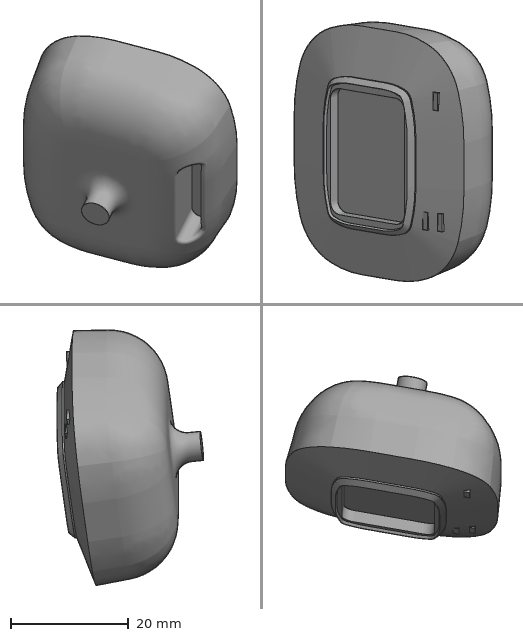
import math

import cadquery as cq

TILT = 5.0

RIM_Y = 20.0
HALF_WIDTH = 18.375
HALF_HEIGHT = 21.68
TOP_FLAT_HALF = 3.8
SIDE_FLAT_HALF = 4.1
CORNER_RADIUS = 11.0
TOP_ARC_ANGLE = math.radians(21.3)
SIDE_ARC_ANGLE = math.radians(16.0)

FRONT_Y = 5.0
DRAFT = math.radians(5.0)
FRONT_FILLET = 10.0

MARGIN = 0.1

PIN_DIAMETER = 5.0
PIN_FILLET = 3.0

FRAME_BASE_Y = 22.45
FRAME_BASE_INSET = 8.45
FRAME_STEP = 0.3
RIDGE_Y = 23.72
RIDGE_INSET = 9.35
LIP_DEPTH = 0.55
LIP_WIDTH = 0.2

POCKET_HALF_WIDTH = 8.0
POCKET_HALF_HEIGHT = 11.0
POCKET_CORNER_RADIUS = 2.0
POCKET_DEPTH = 2.0

SLOT_X = 13.95
SLOT_WIDTH = 3.1
SLOT_STRAIGHT = 14.9
SLOT_FLOOR_Y = 14.0
SLOT_FILLET = 0.5
SLOT_MOUTH_REACH = 5.0

BAR_WIDTH = 1.0
BAR_LENGTH = 3.1
BARS = [(-13.3, 11.1, 21.47), (-14.2, -9.9, 21.37), (-11.5, -9.9, 21.97)]


def side_and_top_radii():
    """Radii of the side and top arcs that make the quarter outline close tangentially."""
    sin_top, cos_top = math.sin(TOP_ARC_ANGLE), math.cos(TOP_ARC_ANGLE)
    sin_side, cos_side = math.sin(SIDE_ARC_ANGLE), math.cos(SIDE_ARC_ANGLE)
    width_left = HALF_WIDTH - TOP_FLAT_HALF - CORNER_RADIUS * (cos_side - sin_top)
    height_left = HALF_HEIGHT - SIDE_FLAT_HALF - CORNER_RADIUS * (cos_top - sin_side)
    determinant = sin_top * sin_side - (1 - cos_side) * (1 - cos_top)
    top = (width_left * sin_side - height_left * (1 - cos_side)) / determinant
    side = (height_left * sin_top - width_left * (1 - cos_top)) / determinant
    return side, top


SIDE_RADIUS, TOP_RADIUS = side_and_top_radii()


def on_circle(centre, radius, angle):
    """Point on a circle, with the angle measured from the height direction towards the width."""
    return centre[0] + radius * math.sin(angle), centre[1] + radius * math.cos(angle)


def back_plane(y):
    """Sketch plane across the part, facing the back; its height direction is -Z."""
    return cq.Plane(origin=(0, y, 0), xDir=(1, 0, 0), normal=(0, 1, 0))


def outline(y, inset):
    """Closed wire at depth y: the rim outline moved inwards by inset."""
    top_centre = (TOP_FLAT_HALF, HALF_HEIGHT - TOP_RADIUS)
    side_centre = (HALF_WIDTH - SIDE_RADIUS, SIDE_FLAT_HALF)
    corner_centre = on_circle(top_centre, TOP_RADIUS - CORNER_RADIUS, TOP_ARC_ANGLE)
    corner_end = math.pi / 2 - SIDE_ARC_ANGLE
    arcs = [
        (top_centre, TOP_RADIUS, 0, TOP_ARC_ANGLE),
        (corner_centre, CORNER_RADIUS, TOP_ARC_ANGLE, corner_end),
        (side_centre, SIDE_RADIUS, corner_end, math.pi / 2),
    ]
    quarter = []
    for centre, radius, start, end in arcs:
        angles = (start, (start + end) / 2, end)
        quarter.append([on_circle(centre, radius - inset, angle) for angle in angles])

    mirrored = [arc[::-1] for arc in quarter[::-1]]
    quarters = [(quarter, 1, 1), (mirrored, 1, -1), (quarter, -1, -1), (mirrored, -1, 1)]
    sketch = cq.Workplane(back_plane(y)).moveTo(*quarter[0][0])
    for index, (arcs_of_quarter, x_sign, z_sign) in enumerate(quarters):
        for arc_index, arc in enumerate(arcs_of_quarter):
            start, middle, end = [(x_sign * x, z_sign * z) for x, z in arc]
            if arc_index == 0 and index > 0:
                sketch = sketch.lineTo(*start)
            sketch = sketch.threePointArc(middle, end)
    return sketch.close().val()


def section_solid(start, end):
    """Solid between two outlines, each given as (y, inset)."""
    return cq.Workplane(cq.Solid.makeLoft([outline(*start), outline(*end)], True))


def front_shell():
    front_inset = (RIM_Y - FRONT_Y) * math.tan(DRAFT)
    shell = section_solid((FRONT_Y, front_inset), (RIM_Y, 0))
    return shell.faces("<Y").edges().fillet(FRONT_FILLET)


def add_pin(body):
    pin = cq.Workplane(back_plane(0)).circle(PIN_DIAMETER / 2).extrude(FRONT_Y + MARGIN)
    reach = PIN_DIAMETER / 2 + MARGIN
    root = cq.selectors.BoxSelector(
        (-reach, FRONT_Y - MARGIN, -reach), (reach, FRONT_Y + MARGIN, reach)
    )
    return body.union(pin).edges(root).fillet(PIN_FILLET)


def cut_slot(body):
    slot = (
        cq.Workplane(back_plane(0))
        .center(SLOT_X, 0)
        .slot2D(SLOT_STRAIGHT + SLOT_WIDTH, SLOT_WIDTH, 90)
        .extrude(SLOT_FLOOR_Y)
    )
    body = body.cut(slot)
    reach = SLOT_WIDTH / 2 + MARGIN
    half_length = SLOT_STRAIGHT / 2 + reach
    mouth = cq.selectors.BoxSelector(
        (SLOT_X - reach, FRONT_Y, -half_length), (SLOT_X + reach, FRONT_Y + SLOT_MOUTH_REACH, half_length)
    )
    return body.edges(mouth).fillet(SLOT_FILLET)


def back_with_frame():
    step_y = FRAME_BASE_Y + FRAME_STEP
    lip_floor = (RIDGE_Y - LIP_DEPTH, RIDGE_INSET + LIP_WIDTH)
    back = section_solid((RIM_Y, 0), (FRAME_BASE_Y, FRAME_BASE_INSET))
    step = section_solid((FRAME_BASE_Y, FRAME_BASE_INSET), (step_y, FRAME_BASE_INSET))
    frame = section_solid((step_y, FRAME_BASE_INSET), (RIDGE_Y, RIDGE_INSET))
    dish = section_solid(lip_floor, (RIDGE_Y, RIDGE_INSET))
    pocket = (
        cq.Workplane(back_plane(lip_floor[0]))
        .rect(2 * POCKET_HALF_WIDTH, 2 * POCKET_HALF_HEIGHT)
        .extrude(-POCKET_DEPTH)
        .edges("|Y")
        .fillet(POCKET_CORNER_RADIUS)
    )
    return back.union(step).union(frame).cut(dish).cut(pocket)


def marking_bar(x, z, top_y):
    bar = cq.Workplane("XY").box(BAR_WIDTH, top_y - RIM_Y, BAR_LENGTH)
    return bar.translate((x, (top_y + RIM_Y) / 2, z))


body = cut_slot(add_pin(front_shell()))
body = body.union(back_with_frame())
for bar in BARS:
    body = body.union(marking_bar(*bar))

result = body.rotate((0, 0, 0), (0, 0, 1), TILT)